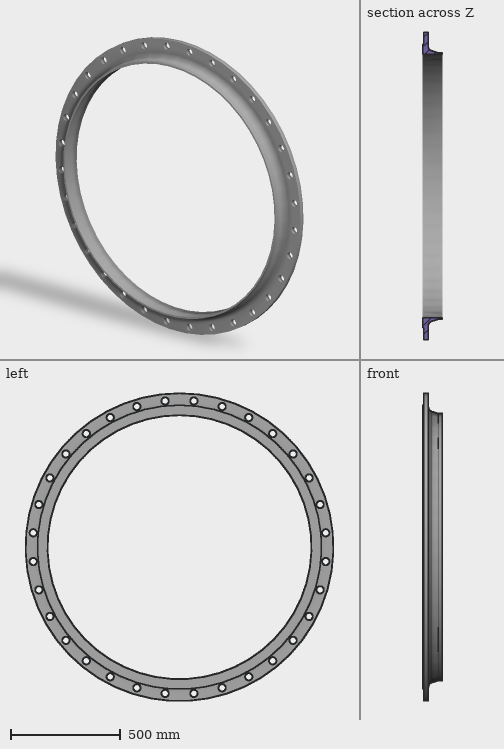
import cadquery as cq

flange_diameter = 1405.0
bore_diameter = 1203.0
overall_length = 90.0

raised_face_diameter = 1295.0
raised_face_height = 4.0
flange_back_x = 27.0

cone_root_diameter = 1248.0
neck_diameter = 1220.0
neck_straight_length = 20.0
root_fillet_radius = 20.0

bolt_count = 32
bolt_circle_diameter = 1340.0
bolt_hole_diameter = 32.0


def root_edge_selector():
    """Select the circle where the cone meets the back of the flange."""
    margin = 0.1
    reach = cone_root_diameter / 2 + margin
    return cq.selectors.BoxSelector(
        (flange_back_x - margin, -reach, -reach),
        (flange_back_x + margin, reach, reach),
        boundingbox=True,
    )


def make_ring():
    """Revolve the half section, drawn as (x, radius), about the X axis."""
    cone_end_x = overall_length - neck_straight_length
    section = [
        (0, bore_diameter / 2),
        (0, raised_face_diameter / 2),
        (raised_face_height, raised_face_diameter / 2),
        (raised_face_height, flange_diameter / 2),
        (flange_back_x, flange_diameter / 2),
        (flange_back_x, cone_root_diameter / 2),
        (cone_end_x, neck_diameter / 2),
        (overall_length, neck_diameter / 2),
        (overall_length, bore_diameter / 2),
    ]
    ring = cq.Workplane("XZ").polyline(section).close().revolve(360, (0, 0, 0), (1, 0, 0))
    return ring.edges(root_edge_selector()).fillet(root_fillet_radius)


def make_bolt_holes():
    """Cylinders through the flange, set half a pitch off the axes."""
    half_pitch = 360 / bolt_count / 2
    return (
        cq.Workplane("YZ")
        .polarArray(bolt_circle_diameter / 2, half_pitch, 360, bolt_count)
        .circle(bolt_hole_diameter / 2)
        .extrude(flange_back_x)
    )


result = make_ring().cut(make_bolt_holes())